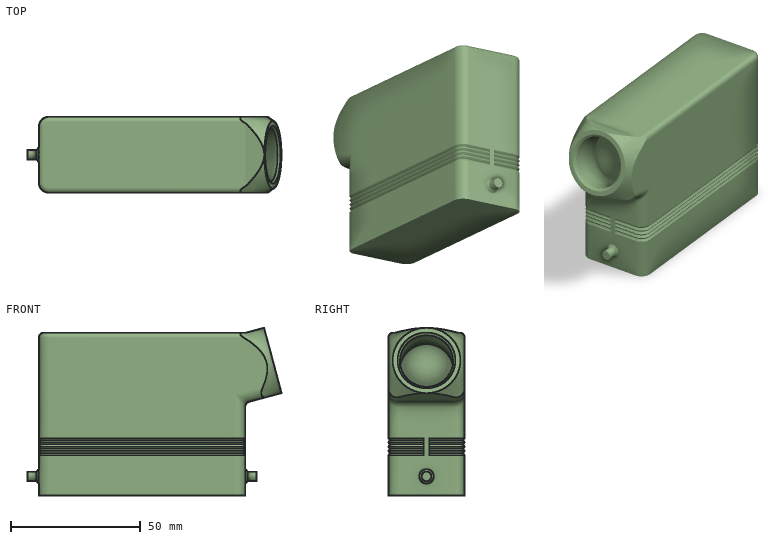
import cadquery as cq
import math

body_length = 79.6
body_width = 29.41
body_height = 62.9
corner_radius = 4.0
top_radius = 2.0

outlet_tilt = math.radians(15)
outlet_height = 26.1
outlet_tip_x = 53.81
outlet_top_z = 64.75
outlet_root_x = 20.0
outlet_crease_radius = 2.0
cone_half_angle = math.radians(33)
cone_length = 12.0
cone_clearance_radius = 30.0
bore_radius = 10.25
bore_depth = 14.0
bore_chamfer = 0.9

groove_count = 4
groove_bottom_z = 15.6
groove_pitch = 1.66
groove_depth = 0.65
groove_gap = 1.95

pin_z = 7.45
pin_radius = 1.85
pin_tip_x = 44.2
collar_length = 0.95
collar_radius = pin_radius + collar_length

half_length = body_length / 2
half_width = body_width / 2
face_top_x = outlet_tip_x - outlet_height * math.sin(outlet_tilt)
face_bottom_z = outlet_top_z - outlet_height * math.cos(outlet_tilt)
face_center_x = (face_top_x + outlet_tip_x) / 2
face_center_z = (outlet_top_z + face_bottom_z) / 2
slope = math.tan(outlet_tilt)
slope_start_x = face_top_x - (outlet_top_z - body_height) / slope


def underside_z(x):
    """Height of the sloping outlet underside at a given x."""
    return face_bottom_z - (outlet_tip_x - x) * slope


def make_body():
    """Upright block with rounded corners."""
    return (
        cq.Workplane("XY")
        .rect(body_length, body_width)
        .extrude(body_height)
        .edges("|Z")
        .fillet(corner_radius)
    )


def make_outlet():
    """Tilted block with rounded lower edges, rooted inside the body."""
    block = (
        cq.Workplane("XZ")
        .moveTo(outlet_root_x, underside_z(outlet_root_x))
        .lineTo(outlet_tip_x, face_bottom_z)
        .lineTo(face_top_x, outlet_top_z)
        .lineTo(slope_start_x, body_height)
        .lineTo(outlet_root_x, body_height)
        .close()
        .extrude(half_width, both=True)
    )
    middle_x = (outlet_root_x + outlet_tip_x) / 2
    underside_point = (middle_x, 0, underside_z(middle_x))
    underside = block.faces(cq.selectors.NearestToPointSelector(underside_point))
    return underside.edges("not |Y").fillet(corner_radius)


def make_shell():
    """Body and outlet joined, with the inside corner below and the top edges rounded."""
    shell = make_body().union(make_outlet())
    crease_z = underside_z(half_length)
    crease_zone = cq.selectors.BoxSelector(
        (half_length - corner_radius, -half_width, crease_z - corner_radius),
        (half_length + corner_radius, half_width, crease_z + corner_radius),
    )
    shell = shell.edges(crease_zone).edges("not #Y").fillet(outlet_crease_radius)
    top_center = (0, 0, body_height)
    slope_center = ((slope_start_x + face_top_x) / 2, 0, (body_height + outlet_top_z) / 2)
    flat_top = shell.faces(cq.selectors.NearestToPointSelector(top_center))
    sloped_top = shell.faces(cq.selectors.NearestToPointSelector(slope_center))
    rounded_edges = flat_top.edges("not >X").add(sloped_top.edges("not |Y"))
    return rounded_edges.fillet(top_radius)


def outlet_plane():
    """Plane on the outlet end face, with its normal pointing into the part."""
    inward = (-math.cos(outlet_tilt), 0, -math.sin(outlet_tilt))
    return cq.Plane(origin=(face_center_x, 0, face_center_z), xDir=(0, 1, 0), normal=inward)


def make_cone_trim():
    """Everything around the conical outside of the outlet."""
    rim_radius = outlet_height / 2
    cone_end_radius = rim_radius + cone_length * math.tan(cone_half_angle)
    profile = (
        cq.Workplane("XZ")
        .moveTo(rim_radius, 0)
        .lineTo(cone_clearance_radius, 0)
        .lineTo(cone_clearance_radius, cone_length)
        .lineTo(cone_end_radius, cone_length)
        .close()
    )
    ring = profile.revolve(360, (0, 0), (0, 1))
    return cq.Workplane(ring.val().moved(outlet_plane().location))


def make_bore():
    """Blind round bore with a chamfered mouth in the outlet end face."""
    mouth_radius = bore_radius + bore_chamfer
    bore = (
        cq.Workplane("XZ")
        .lineTo(mouth_radius, 0)
        .lineTo(bore_radius, bore_chamfer)
        .lineTo(bore_radius, bore_depth)
        .lineTo(0, bore_depth)
        .close()
        .revolve(360, (0, 0), (0, 1))
    )
    return cq.Workplane(bore.val().moved(outlet_plane().location))


def make_groove(lower_z):
    """V groove around the body, interrupted at the middle of each end."""
    half_pitch = groove_pitch / 2
    taper = math.degrees(math.atan(groove_depth / half_pitch))
    outline = cq.Workplane("XY").rect(body_length, body_width).extrude(groove_pitch)
    lower_core = make_core_half(half_pitch, taper)
    upper_core = lower_core.mirror("XY")
    core = lower_core.union(upper_core.translate((0, 0, groove_pitch)))
    gap_block = cq.Workplane("XY").box(body_length, groove_gap, 2 * groove_pitch)
    return outline.cut(core).cut(gap_block).translate((0, 0, lower_z))


def make_core_half(height, taper):
    """Rounded body section that narrows upward to the groove root."""
    section = cq.Sketch().rect(body_length, body_width).vertices().fillet(corner_radius)
    return cq.Workplane("XY").placeSketch(section).extrude(height, taper=taper)


def make_pin():
    """Pin on the +X end with a conical collar at the wall."""
    pin_root_x = half_length - corner_radius / 2
    return (
        cq.Workplane("XZ")
        .moveTo(pin_root_x, pin_z)
        .lineTo(pin_tip_x, pin_z)
        .lineTo(pin_tip_x, pin_z + pin_radius)
        .lineTo(half_length + collar_length, pin_z + pin_radius)
        .lineTo(half_length, pin_z + collar_radius)
        .lineTo(pin_root_x, pin_z + collar_radius)
        .close()
        .revolve(360, (0, pin_z), (1, pin_z))
    )


result = make_shell().cut(make_cone_trim()).cut(make_bore())
for index in range(groove_count):
    result = result.cut(make_groove(groove_bottom_z + index * groove_pitch))
pin = make_pin()
result = result.union(pin).union(pin.mirror("YZ"))